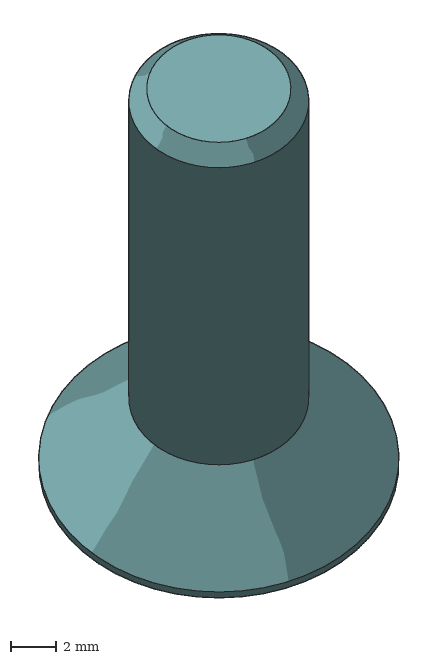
import cadquery as cq

total_length = 25.0
shank_diameter = 8.0
head_diameter = 16.0
rim_height = 0.4
tip_chamfer = 0.8

shank_radius = shank_diameter / 2
head_radius = head_diameter / 2
cone_height = head_radius - shank_radius
head_height = rim_height + cone_height


def make_head():
    """Flat rim with a cone narrowing up to the shank."""
    return (
        cq.Workplane("XZ")
        .moveTo(0, 0)
        .lineTo(head_radius, 0)
        .lineTo(head_radius, rim_height)
        .lineTo(shank_radius, head_height)
        .lineTo(0, head_height)
        .close()
        .revolve(360, (0, 0, 0), (0, 1, 0))
    )


def make_shank():
    """Plain cylinder with a chamfered tip."""
    return (
        cq.Workplane("XY")
        .workplane(offset=head_height)
        .circle(shank_radius)
        .extrude(total_length - head_height)
        .faces(">Z")
        .chamfer(tip_chamfer)
    )


result = make_head().union(make_shank())